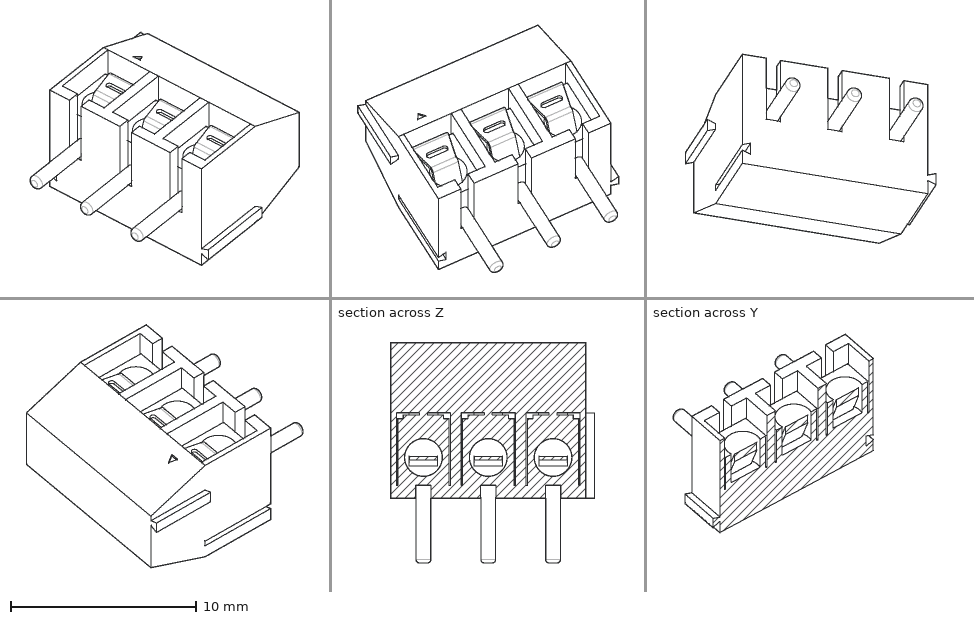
import cadquery as cq
import math


overall_length = 11.9

housing_width = 10.54
housing_height = 6.8
housing_depth = 8.4
shoulder_y = 4.6
rear_height = 3.83

pole_pitch = 3.5
pole_count = 3
pole_places = [(i - (pole_count - 1) / 2) * pole_pitch for i in range(pole_count)]

pin_radius = 0.4
pin_length = overall_length - housing_depth
pin_tip_fillet = 0.19

front_wall = 0.69
pocket_width = 2.9
pocket_floor_z = -pin_radius
slot_width = 2 * pin_radius

terminal_width = 2.78
terminal_top_z = 1.94
terminal_back_y = 4.3
wire_hole_radius = 1.01
wire_hole_y = 2.2

plate_thickness = 0.2
plate_wide = 2.19
plate_narrow = 1.54
plate_bend_radius = 0.26
plate_front_bend_y = 2.75
plate_leg_end_y = 1.74
plate_leg_angle = math.radians(70)
plate_slot_length = 1.27
plate_slot_width = 0.35
plate_slot_y = 3.5

screw_radius = 0.77

dovetail_depth = 0.48
dovetail_wide = 0.7
dovetail_narrow = 0.35
upper_dovetail_z = 1.4
lower_dovetail_z = -2.4

mark_width = 0.5
mark_base_y = 5.26
mark_tip_y = 5.71
mark_depth = 0.12

top_z = housing_height / 2
plate_top_z = terminal_top_z + plate_thickness
plate_back_y = terminal_back_y + plate_thickness
plate_rear_bend_y = plate_back_y - plate_bend_radius
bend_center_z = plate_top_z - plate_bend_radius
leg_start_y = plate_front_bend_y - plate_bend_radius * math.sin(plate_leg_angle)
leg_start_z = bend_center_z + plate_bend_radius * math.cos(plate_leg_angle)
wire_hole_floor_z = leg_start_z - (leg_start_y - plate_leg_end_y) * math.tan(plate_leg_angle)


def box_between(x_center, width, y_start, y_end, z_start, z_end):
    return (
        cq.Workplane("XY", origin=(x_center, 0, z_start))
        .moveTo(0, (y_start + y_end) / 2)
        .rect(width, y_end - y_start)
        .extrude(z_end - z_start)
    )


def make_housing():
    return (
        cq.Workplane("YZ")
        .moveTo(0, -top_z)
        .lineTo(shoulder_y, -top_z)
        .lineTo(housing_depth, -rear_height / 2)
        .lineTo(housing_depth, rear_height / 2)
        .lineTo(shoulder_y, top_z)
        .lineTo(0, top_z)
        .close()
        .extrude(housing_width / 2, both=True)
    )


def make_dovetail(root_x, z, y_start, y_end):
    """Dovetail bar growing toward +X, narrow at root_x."""
    outline = [
        (0, -dovetail_narrow / 2),
        (dovetail_depth, -dovetail_wide / 2),
        (dovetail_depth, dovetail_wide / 2),
        (0, dovetail_narrow / 2),
    ]
    return (
        cq.Workplane("XZ", origin=(root_x, y_end, z))
        .polyline(outline)
        .close()
        .extrude(y_end - y_start)
    )


def make_pocket(x):
    pocket = box_between(x, pocket_width, front_wall, shoulder_y, pocket_floor_z, top_z)
    slot = box_between(x, slot_width, 0, front_wall, pocket_floor_z, top_z)
    return pocket.union(slot)


def make_terminal(x):
    block = box_between(x, terminal_width, front_wall, terminal_back_y, pocket_floor_z, terminal_top_z)
    wire_hole = (
        cq.Workplane("XY", origin=(x, wire_hole_y, wire_hole_floor_z))
        .circle(wire_hole_radius)
        .extrude(terminal_top_z - wire_hole_floor_z)
    )
    return block.cut(wire_hole)


def make_plate(x):
    """Plate with a vertical rear leg and a sloping front leg reaching into the wire hole."""
    inner_radius = plate_bend_radius - plate_thickness

    def front_bend(radius, angle):
        y = plate_front_bend_y - radius * math.sin(angle)
        return (y, bend_center_z + radius * math.cos(angle))

    def rear_bend(radius, angle):
        y = plate_rear_bend_y + radius * math.sin(angle)
        return (y, bend_center_z + radius * math.cos(angle))

    half_leg_angle = plate_leg_angle / 2
    half_right_angle = math.pi / 4
    leg_inner_end_y = plate_leg_end_y + plate_thickness / math.sin(plate_leg_angle)
    bent_strip = (
        cq.Workplane("YZ", origin=(x, 0, 0))
        .moveTo(plate_back_y, pocket_floor_z)
        .lineTo(plate_back_y, bend_center_z)
        .threePointArc(rear_bend(plate_bend_radius, half_right_angle), (plate_rear_bend_y, plate_top_z))
        .lineTo(plate_front_bend_y, plate_top_z)
        .threePointArc(front_bend(plate_bend_radius, half_leg_angle), (leg_start_y, leg_start_z))
        .lineTo(plate_leg_end_y, wire_hole_floor_z)
        .lineTo(leg_inner_end_y, wire_hole_floor_z)
        .lineTo(*front_bend(inner_radius, plate_leg_angle))
        .threePointArc(front_bend(inner_radius, half_leg_angle), (plate_front_bend_y, terminal_top_z))
        .lineTo(plate_rear_bend_y, terminal_top_z)
        .threePointArc(rear_bend(inner_radius, half_right_angle), (terminal_back_y, bend_center_z))
        .lineTo(terminal_back_y, pocket_floor_z)
        .close()
        .extrude(plate_wide / 2, both=True)
    )
    tapered_outline = [
        (plate_wide / 2, plate_back_y),
        (plate_wide / 2, plate_rear_bend_y),
        (plate_narrow / 2, plate_front_bend_y),
        (plate_narrow / 2, plate_leg_end_y),
        (-plate_narrow / 2, plate_leg_end_y),
        (-plate_narrow / 2, plate_front_bend_y),
        (-plate_wide / 2, plate_rear_bend_y),
        (-plate_wide / 2, plate_back_y),
    ]
    tapered_column = (
        cq.Workplane("XY", origin=(x, 0, pocket_floor_z))
        .polyline(tapered_outline)
        .close()
        .extrude(plate_top_z - pocket_floor_z)
    )
    slot = (
        cq.Workplane("XY", origin=(x, plate_slot_y, terminal_top_z))
        .slot2D(plate_slot_length, plate_slot_width)
        .extrude(plate_thickness)
    )
    return bent_strip.intersect(tapered_column).cut(slot)


def make_screw_shank(x):
    return (
        cq.Workplane("XZ", origin=(x, shoulder_y, 0))
        .circle(screw_radius)
        .extrude(shoulder_y - terminal_back_y)
    )


def make_pin(x):
    return (
        cq.Workplane("XZ", origin=(x, front_wall, 0))
        .circle(pin_radius)
        .extrude(front_wall + pin_length)
        .faces("<Y")
        .edges()
        .fillet(pin_tip_fillet)
    )


def make_mark(housing):
    """Triangular recess whose floor runs parallel to the sloped top."""
    prism = (
        cq.Workplane("XY", origin=(pole_places[0], 0, 0))
        .polyline([(-mark_width / 2, mark_base_y), (mark_width / 2, mark_base_y), (0, mark_tip_y)])
        .close()
        .extrude(top_z)
    )
    return prism.cut(housing.translate((0, 0, -mark_depth)))


left_x = -housing_width / 2
right_x = housing_width / 2

housing = make_housing()
result = housing.cut(make_mark(housing))

for pole_x in pole_places:
    result = result.cut(make_pocket(pole_x))
    result = result.union(make_terminal(pole_x))
    result = result.union(make_plate(pole_x))
    result = result.union(make_screw_shank(pole_x))
    result = result.union(make_pin(pole_x))

result = result.cut(make_dovetail(left_x, lower_dovetail_z, 0, shoulder_y))
result = result.union(make_dovetail(right_x, lower_dovetail_z, 0, shoulder_y))
upper_rail = make_dovetail(right_x, upper_dovetail_z, shoulder_y, housing_depth).mirror("YZ")
result = result.union(upper_rail)